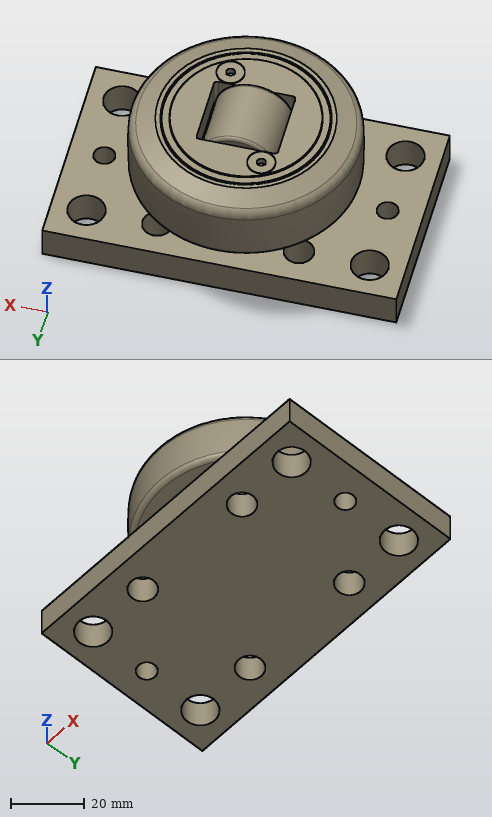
import cadquery as cq
import math

plate_length = 100.0
plate_width = 60.0
plate_thickness = 10.0
corner_hole_diameter = 10.5
dowel_hole_diameter = 6.0
inner_hole_diameter = 8.4
hole_column_x = 40.0
hole_row_y = 20.0
inner_column_x = 20.0

neck_diameter = 42.0
neck_chamfer = 0.5
collar_diameter = 42.1
collar_height = 0.7

rim_diameter = 64.8
rim_edge_diameter = 64.2
roller_bottom = 17.8
roller_top = 37.8
cone_top_diameter = 49.7
cone_angle = 20.7
rim_bottom_fillet = 1.6
rim_top_fillet = 3.0

seal_groove_diameter = 47.0
seal_groove_width = 0.4
seal_groove_depth = 0.3
cap_diameter = 42.1
cap_height = 0.3
cap_chamfer = 0.2

window_length = 23.0
window_width = 21.0
window_corner_radius = 1.0
side_roller_diameter = 22.0
side_roller_width = 20.3
side_roller_fillet = 1.0
side_roller_top = 40.5

screw_x = 8.0
screw_y = 14.5
screw_head_diameter = 7.8
screw_head_rise = 0.2
socket_diameter = 2.5
socket_depth = 2.0

cap_top = roller_top + cap_height
side_roller_axis_z = side_roller_top - side_roller_diameter / 2


def cylinder(diameter, bottom, top):
    return cq.Workplane("XY").workplane(offset=bottom).circle(diameter / 2).extrude(top - bottom)


def mirrored_points(x, y):
    return [(sx * x, sy * y) for sx in (-1, 1) for sy in (-1, 1)]


def make_plate():
    plate = cq.Workplane("XY").box(
        plate_length, plate_width, plate_thickness, centered=(True, True, False)
    )
    hole_groups = [
        (corner_hole_diameter, mirrored_points(hole_column_x, hole_row_y)),
        (inner_hole_diameter, mirrored_points(inner_column_x, hole_row_y)),
        (dowel_hole_diameter, [(-hole_column_x, 0), (hole_column_x, 0)]),
    ]
    for diameter, points in hole_groups:
        plate = plate.faces(">Z").workplane().pushPoints(points).hole(diameter)
    return plate


def make_neck():
    neck = cylinder(neck_diameter, plate_thickness, roller_bottom)
    neck = neck.faces("<Z").chamfer(neck_chamfer)
    collar = cylinder(collar_diameter, roller_bottom - collar_height, roller_bottom)
    return neck.union(collar)


def make_main_roller():
    edge_radius = rim_edge_diameter / 2
    cone_top_radius = cone_top_diameter / 2
    cone_drop = (edge_radius - cone_top_radius) * math.tan(math.radians(cone_angle))
    shoulder_z = roller_top - cone_drop
    roller = (
        cq.Workplane("XZ")
        .moveTo(0, roller_bottom)
        .lineTo(edge_radius, roller_bottom)
        .threePointArc(
            (rim_diameter / 2, (roller_bottom + shoulder_z) / 2),
            (edge_radius, shoulder_z),
        )
        .lineTo(cone_top_radius, roller_top)
        .lineTo(0, roller_top)
        .close()
        .revolve(360, (0, 0, 0), (0, 1, 0))
    )
    roller = roller.faces("<Z").edges().fillet(rim_bottom_fillet)
    shoulder_edge = cq.selectors.NearestToPointSelector((0, 0, shoulder_z))
    roller = roller.edges(shoulder_edge).fillet(rim_top_fillet)
    groove = (
        cq.Workplane("XY")
        .workplane(offset=roller_top - seal_groove_depth)
        .circle(seal_groove_diameter / 2)
        .circle(seal_groove_diameter / 2 - seal_groove_width)
        .extrude(seal_groove_depth)
    )
    return roller.cut(groove)


def make_cap():
    return cylinder(cap_diameter, roller_top, cap_top).faces(">Z").chamfer(cap_chamfer)


def make_window():
    return (
        cq.Workplane("XY")
        .workplane(offset=side_roller_axis_z)
        .rect(window_length, window_width)
        .extrude(cap_top - side_roller_axis_z)
        .edges("|Z")
        .fillet(window_corner_radius)
    )


def make_side_roller():
    return (
        cq.Workplane("XZ", origin=(0, 0, side_roller_axis_z))
        .circle(side_roller_diameter / 2)
        .extrude(side_roller_width)
        .translate((0, side_roller_width / 2, 0))
        .faces("<Y or >Y")
        .edges()
        .fillet(side_roller_fillet)
    )


def add_screws(body):
    head_top = cap_top + screw_head_rise
    for x, y in [(-screw_x, screw_y), (screw_x, -screw_y)]:
        head = cylinder(screw_head_diameter, roller_top, head_top)
        socket = cylinder(socket_diameter, head_top - socket_depth, head_top)
        body = body.union(head.translate((x, y, 0)))
        body = body.cut(socket.translate((x, y, 0)))
    return body


body = make_plate().union(make_neck()).union(make_main_roller()).union(make_cap())
body = body.cut(make_window()).union(make_side_roller())
result = add_screws(body)